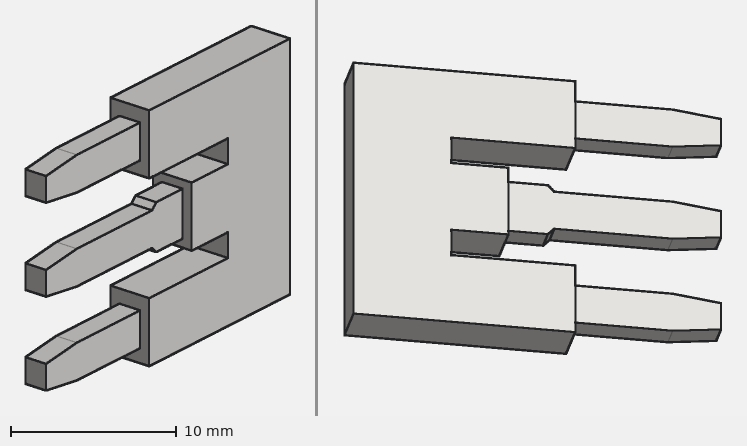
import cadquery as cq


housing_thickness = 3.0
arm_height = 4.5
pole_pitch = 6.2
spine_depth = 6.0
outer_arm_depth = 13.6
middle_arm_depth = 9.5
housing_height = 2 * pole_pitch + arm_height

total_length = 22.68
pin_thickness = 1.6
pin_height = 2.5
pin_tip_height = 1.77
pin_taper_length = 2.97

root_height = 3.3
root_end_depth = 12.05
root_chamfer = (root_height - pin_height) / 2

back_y = total_length / 2
tip_y = back_y - total_length
taper_y = tip_y + pin_taper_length


def housing_block(height, depth, center_z):
    """Box of full housing thickness reaching forward from the back face."""
    center_y = back_y - depth / 2
    return cq.Workplane("XY").box(housing_thickness, depth, height).translate((0, center_y, center_z))


def extrude_profile(upper_edge, center_z):
    """Pin section symmetric about its axis, from (y, half height) points."""
    lower_edge = [(y, -half_height) for y, half_height in reversed(upper_edge)]
    return (
        cq.Workplane("YZ")
        .polyline(upper_edge + lower_edge)
        .close()
        .extrude(pin_thickness / 2, both=True)
        .translate((0, 0, center_z))
    )


def make_housing():
    """Comb of one spine and three arms, the middle arm shorter than the outer two."""
    housing = housing_block(housing_height, spine_depth, 0)
    for center_z, arm_depth in (
        (-pole_pitch, outer_arm_depth),
        (0, middle_arm_depth),
        (pole_pitch, outer_arm_depth),
    ):
        housing = housing.union(housing_block(arm_height, arm_depth, center_z))
    return housing


def make_pin(center_z):
    """Straight pin with a tapered tip, its root buried in the arm up to the spine."""
    upper_edge = [
        (back_y - spine_depth, pin_height / 2),
        (taper_y, pin_height / 2),
        (tip_y, pin_tip_height / 2),
    ]
    return extrude_profile(upper_edge, center_z)


def make_middle_root():
    """Wider root of the middle pin, chamfered down to the pin height."""
    root_end_y = back_y - root_end_depth
    upper_edge = [
        (back_y - spine_depth, root_height / 2),
        (root_end_y, root_height / 2),
        (root_end_y - root_chamfer, pin_height / 2),
    ]
    return extrude_profile(upper_edge, 0)


result = make_housing().union(make_middle_root())
for pin_z in (-pole_pitch, 0, pole_pitch):
    result = result.union(make_pin(pin_z))